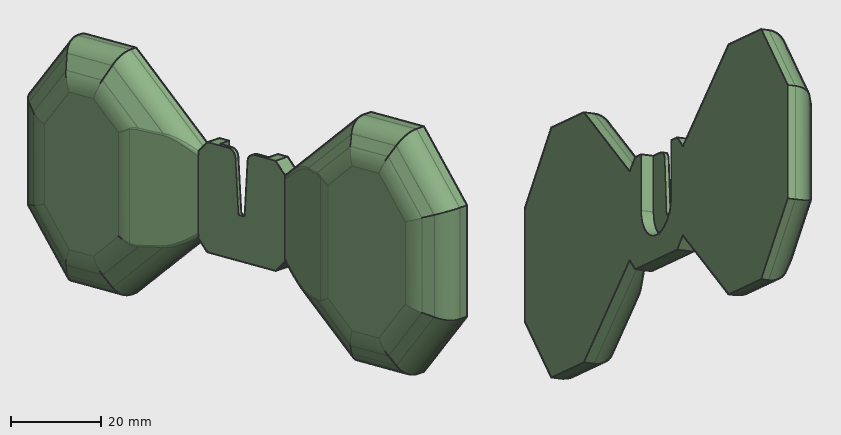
import cadquery as cq


half_length = 63.5
half_height = 28.6
wing_depth = 10.2

plate_half = 12.8
plate_depth = 4.1
plate_corner_cut = 2.7

pocket_depth = 3.0
pocket_radius = 7.2

slot_floor_z = -2.2
slot_floor_half_width = 0.9
slot_mouth_half_width = 1.9
slot_floor_radius = 0.5
slot_mouth_radius = 2.0

outer_edge_half = 13.0
top_edge_outer_x = 50.7
top_edge_inner_x = 34.9
wing_root_half = plate_half - plate_corner_cut

left_wall_depth = 5.1
left_bevel_width = 7.9
right_wall_depth = 6.0
right_bevel_width = 7.2

ramp_top_x = 29.7
ramp_slope = (wing_depth - plate_depth) / (ramp_top_x - plate_half)

shoulder_radius = 6.0
front_radius = 8.0
ramp_side_radius = 1.0

root_allowance = 3.8


def back_plane():
    """Sketch plane on the back face: X right, Z up, extruding toward the front."""
    return cq.Workplane("XZ")


def bevelled_blank(wall_depth, bevel_width):
    """Wing on the +X side with a bevelled front, before the ramp is cut."""
    side_slope = (half_height - wing_root_half) / (top_edge_inner_x - plate_half)
    apex_x = plate_half - wing_root_half / side_slope
    outline = [
        (apex_x, 0),
        (top_edge_inner_x, half_height),
        (top_edge_outer_x, half_height),
        (half_length, outer_edge_half),
        (half_length, -outer_edge_half),
        (top_edge_outer_x, -half_height),
        (top_edge_inner_x, -half_height),
    ]
    prism = back_plane().polyline(outline).close().extrude(wing_depth)
    return prism.faces("<Y").chamfer(wing_depth - wall_depth, bevel_width)


def space_before_ramp():
    """Everything in front of the ramp plane, which passes through the front edge of the plate."""
    front_y = -2 * wing_depth
    front_x = ramp_top_x + wing_depth / ramp_slope
    middle_y = -plate_depth + ramp_slope * plate_half
    profile = [
        (0, middle_y),
        (front_x, front_y),
        (-half_length, front_y),
        (-half_length, middle_y),
    ]
    return cq.Workplane("XY").polyline(profile).close().extrude(half_height, both=True)


def space_beyond(x):
    """Block that holds every part of the +X wing farther from the middle than x."""
    block = cq.Workplane("XY").box(half_length, 4 * wing_depth, 3 * half_height)
    return block.translate((x + half_length / 2, 0, 0))


def make_wing(wall_depth, bevel_width):
    """Finished wing on the +X side."""
    wing = bevelled_blank(wall_depth, bevel_width)

    wing = wing.edges(">>Y[-3]").fillet(shoulder_radius)

    wing = wing.cut(space_before_ramp())
    wing = wing.intersect(space_beyond(plate_half - root_allowance))
    wing = wing.faces("<Y").edges().fillet(front_radius)

    ramp_normal = cq.Vector(-ramp_slope, -1, 0)
    ramp = wing.faces(cq.selectors.ParallelDirSelector(ramp_normal))
    wing = ramp.edges("not |Z").fillet(ramp_side_radius)

    return wing.intersect(space_beyond(plate_half))


def make_pocket():
    """Pocket with a half-round floor, running out through the top of the plate."""
    return (
        back_plane()
        .moveTo(pocket_radius, plate_half)
        .lineTo(pocket_radius, 0)
        .threePointArc((0, -pocket_radius), (-pocket_radius, 0))
        .lineTo(-pocket_radius, plate_half)
        .close()
        .extrude(pocket_depth)
    )


def make_slot():
    """Slot that narrows from the top of the plate down to its floor."""
    profile = [
        (-slot_mouth_half_width, plate_half),
        (-slot_floor_half_width, slot_floor_z),
        (slot_floor_half_width, slot_floor_z),
        (slot_mouth_half_width, plate_half),
    ]
    return back_plane().polyline(profile).close().extrude(plate_depth)


def round_slot_corners(plate, z, half_width, radius):
    """Round the two slot corners found at the given height and half width."""
    tolerance = 0.01
    corners = [
        edge
        for edge in plate.edges("|Y").vals()
        if abs(edge.Center().z - z) < tolerance and abs(edge.Center().x) < half_width + tolerance
    ]
    return plate.newObject(corners).fillet(radius)


def make_plate():
    """Square plate with cut corners, a pocket in the back and a tapered slot."""
    plate = back_plane().rect(2 * plate_half, 2 * plate_half).extrude(plate_depth)
    plate = plate.edges("|Y").chamfer(plate_corner_cut)
    plate = plate.cut(make_pocket()).cut(make_slot())
    plate = round_slot_corners(plate, plate_half, slot_mouth_half_width, slot_mouth_radius)
    return round_slot_corners(plate, slot_floor_z, slot_floor_half_width, slot_floor_radius)


left_wing = make_wing(left_wall_depth, left_bevel_width).mirror("YZ")
right_wing = make_wing(right_wall_depth, right_bevel_width)
result = make_plate().union(left_wing).union(right_wing)